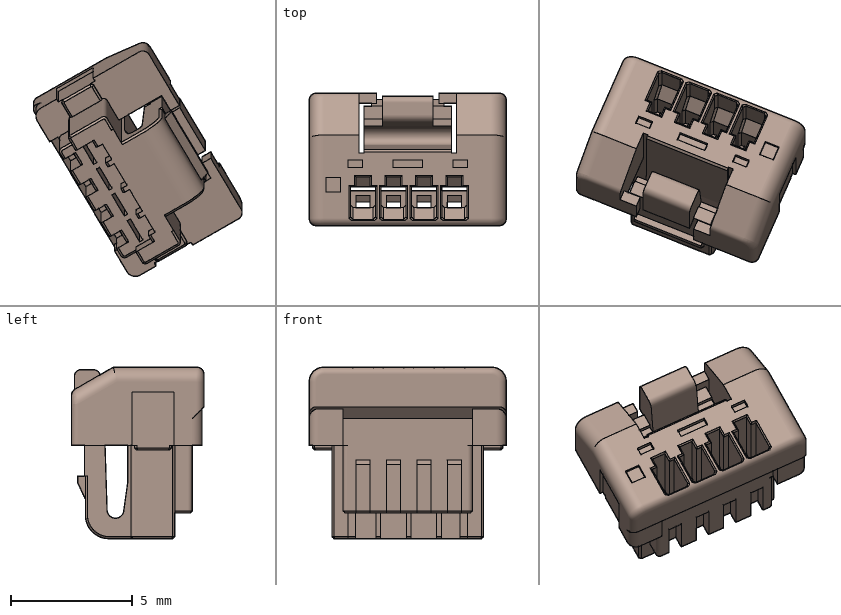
import cadquery as cq
import math

WIDTH = 8.1
DEPTH = 5.45
HEIGHT = 7.05

HEAD_BOTTOM = 3.84
SLOPE_START_Y = 3.73
SLOPE_ANGLE = 30
SIDE_RADIUS = 0.6
EDGE_RADIUS = 0.3
LIP_Z = 5.42
SIDE_SETBACK = 0.08
SIDE_SETBACK_RADIUS = 0.4
PANEL_Y = 0.48
PANEL_HALF = 2.65

RECESS_DEPTH = 0.14
RECESS_FRONT = 1.23
RECESS_BACK = 2.97
RECESS_TOP = 6.03
RECESS_RADIUS = 0.05
STOP_FRONT = 1.34
STOP_BACK = 2.85
STOP_DROP = 0.2
CORNER_BEVEL = 0.09

PLUG_HALF = 3.115
PLUG_FRONT = 1.2
PLUG_BACK = 2.995
PLUG_BACK_RADIUS = 0.15
PANEL_BOTTOM = 1.055
PANEL_BACK = 1.45
PANEL_RADIUS = 0.17
LEG_INNER = 2.455
FOOT_WALL_Y = 2.0
FOOT_RECESS_DEPTH = 0.3
FOOT_RECESS_HALF = 2.14
FOOT_DIVIDER = 0.2

CAVITY_COUNT = 4
PITCH = 1.25
ARRAY_OFFSET = 0.04
CAVITY_WIDTH = 1.02
CAVITY_FRONT = 0.26
CAVITY_LOW_FRONT = 0.745
CAVITY_BACK = 1.6
CAVITY_FLOOR = 3.245
CAVITY_CORNER = 0.105
KEY_WIDTH = 0.57
KEY_BACK = 2.01
MOUTH_BEVEL = 0.06
SLOT_BACK = 0.97
SLOT_RAMP_BACK = 1.24
SLOT_RAMP_DROP = 0.195

OPENING_HALF = 2.0
LATCH_HALF = 1.8
LATCH_ROOT_Y = 3.04
LATCH_WALL_Y = 3.137
BEAM_OUTER_Y = 4.92
BEAM_LOW_OUTER_Y = 4.88
BEAM_INNER_Y = 4.09
SHOULDER_Z = 4.9
SHOULDER_STEP_Y = 4.38
SHOULDER_STEP = 0.2
GAP_TAPER_Z = 2.34
GAP_BOTTOM_Z = 0.85
GAP_ARC_FRONT = 3.3
GAP_ARC_BACK = 3.98
LATCH_BEND_RADIUS = 0.98
HOOK_HALF = 1.49
HOOK_TIP_Y = 5.19
HOOK_TOP = 2.57
HOOK_TIP_BOTTOM = 2.29
HOOK_BOTTOM = 1.63
PULL_HALF = 1.04
PULL_FRONT = 4.29
PULL_BACK = 5.33
PULL_TOP = 6.95
PULL_RADIUS = 0.28
TAB_INNER = 1.28
TAB_FRONT = 5.03
TAB_TOP = 5.2

MARK_DEPTH = 0.2
MARK_FRONT = 2.39
MARK_BACK = 2.71
CENTRE_MARK_HALF = 0.61
SIDE_MARK_INNER = 1.855
SIDE_MARK_OUTER = 2.46
PIN_MARK_SIZE = 0.6
PIN_MARK_DEPTH = 0.12
PIN_MARK_X = -3.06
PIN_MARK_Y = 1.69

OVERRUN = 1.0


def block(x0, x1, y0, y1, z0, z1):
    """Box given by its limits along each axis."""
    return cq.Workplane("XY").box(x1 - x0, y1 - y0, z1 - z0, centered=False).translate((x0, y0, z0))


def extrude_side_profile(profile, x0, x1):
    """Extrude a closed (Y, Z) profile from x0 to x1."""
    return profile.extrude(x1 - x0).translate((x0, 0, 0))


def side_polygon(points, x0, x1):
    """Prism along X with a polygonal (Y, Z) section."""
    return extrude_side_profile(cq.Workplane("YZ").polyline(points).close(), x0, x1)


def make_head():
    """Head with a sloped rear top and rounded edges."""
    slope_end_z = HEIGHT - (DEPTH - SLOPE_START_Y) * math.tan(math.radians(SLOPE_ANGLE))
    outline = [
        (0, HEAD_BOTTOM),
        (0, HEIGHT),
        (SLOPE_START_Y, HEIGHT),
        (DEPTH, slope_end_z),
        (DEPTH, HEAD_BOTTOM),
    ]
    half = WIDTH / 2
    head = side_polygon(outline, -half, half)
    top_and_slope = head.faces(">Z or (not(|X or |Y or |Z))")
    head = head.newObject(top_and_slope.edges("not(|X)").vals()).fillet(SIDE_RADIUS)
    head = head.faces("<Y").edges("not(<Z)").fillet(EDGE_RADIUS)
    head = head.faces(">Y").edges("not(<Z)").fillet(EDGE_RADIUS)
    return head.cut(front_setback())


def front_setback():
    """Space under the front lip, with rounded corners left on the head."""
    half = WIDTH / 2
    ramp_end_z = LIP_Z - PANEL_Y
    space = side_polygon(
        [(0, HEAD_BOTTOM), (0, LIP_Z), (PANEL_Y, ramp_end_z), (PANEL_Y, HEAD_BOTTOM)], -half, half
    )
    shoulders = block(-half, half, SIDE_SETBACK, DEPTH, HEAD_BOTTOM, HEIGHT)
    shoulders = shoulders.edges("|Z and <Y").fillet(SIDE_SETBACK_RADIUS)
    centre = block(-PANEL_HALF, PANEL_HALF, 0, PANEL_Y, HEAD_BOTTOM, HEIGHT)
    return space.cut(shoulders.cut(centre))


def make_plug():
    """Plug with two front legs, a rear wall between them and the centre panel in front."""
    plug = block(-PLUG_HALF, PLUG_HALF, PLUG_FRONT, PLUG_BACK, 0, HEAD_BOTTOM)
    plug = plug.edges("|Z and >Y").fillet(PLUG_BACK_RADIUS)
    plug = plug.edges("|Z and <Y").chamfer(CORNER_BEVEL)
    plug = plug.faces("<Z").edges("not(>Y)").chamfer(CORNER_BEVEL)
    rear_wall = block(-LEG_INNER, LEG_INNER, FOOT_WALL_Y, PLUG_BACK, 0, PANEL_BOTTOM)
    rear_wall = rear_wall.faces("<Z").edges("<Y").chamfer(CORNER_BEVEL)
    plug = plug.cut(block(-LEG_INNER, LEG_INNER, 0, PLUG_BACK, 0, PANEL_BOTTOM)).union(rear_wall)

    panel = block(-PANEL_HALF, PANEL_HALF, PANEL_Y, PANEL_BACK, PANEL_BOTTOM, HEAD_BOTTOM)
    panel = panel.edges("|Z and <Y").fillet(PANEL_RADIUS)
    panel = panel.faces("<Z").edges("not(>Y)").chamfer(CORNER_BEVEL)
    return plug.union(panel)


def cavity_centres():
    first = ARRAY_OFFSET - (CAVITY_COUNT - 1) * PITCH / 2
    return [first + i * PITCH for i in range(CAVITY_COUNT)]


def cavity_outline(z, front, grow=0):
    """Outline of a cavity and its rear key slot at height z, enlarged outwards by grow."""
    half = CAVITY_WIDTH / 2 + grow
    key_half = KEY_WIDTH / 2 + grow
    back = CAVITY_BACK + grow
    right_side = [
        (half - CAVITY_CORNER, front - grow),
        (half, front - grow + CAVITY_CORNER),
        (half, back),
        (key_half, back),
        (key_half, KEY_BACK + grow),
    ]
    left_side = [(-x, y) for x, y in reversed(right_side)]
    return cq.Workplane("XY").workplane(offset=z).polyline(right_side + left_side).close()


def loft_outlines(lower, upper):
    return cq.Workplane(cq.Solid.makeLoft([lower.wires().val(), upper.wires().val()], True))


def make_cavity():
    """Cavity for one contact, centred on X = 0, open to the top and the bottom."""
    half = CAVITY_WIDTH / 2
    key_half = KEY_WIDTH / 2
    ramp_bottom = LIP_Z - (CAVITY_LOW_FRONT - CAVITY_FRONT)
    lower = cavity_outline(CAVITY_FLOOR, CAVITY_LOW_FRONT).extrude(ramp_bottom - CAVITY_FLOOR)
    ramp = loft_outlines(
        cavity_outline(ramp_bottom, CAVITY_LOW_FRONT), cavity_outline(LIP_Z, CAVITY_FRONT)
    )
    upper = cavity_outline(LIP_Z, CAVITY_FRONT).extrude(HEIGHT - LIP_Z)
    mouth = loft_outlines(
        cavity_outline(HEIGHT - MOUTH_BEVEL, CAVITY_FRONT),
        cavity_outline(HEIGHT, CAVITY_FRONT, MOUTH_BEVEL),
    )
    key_depth = KEY_BACK - CAVITY_BACK
    key_floor = side_polygon(
        [(CAVITY_BACK, CAVITY_FLOOR), (KEY_BACK, CAVITY_FLOOR + key_depth), (KEY_BACK, CAVITY_FLOOR)],
        -key_half,
        key_half,
    )
    cavity = lower.union(ramp).union(upper).union(mouth).cut(key_floor)

    drop = block(-half, half, PANEL_BACK, CAVITY_BACK, PANEL_BOTTOM, CAVITY_FLOOR)
    slot_section = [
        (PANEL_Y, PANEL_BOTTOM),
        (PANEL_Y, CAVITY_FLOOR),
        (SLOT_RAMP_BACK, CAVITY_FLOOR),
        (SLOT_BACK, CAVITY_FLOOR - SLOT_RAMP_DROP),
        (SLOT_BACK, PANEL_BOTTOM + CORNER_BEVEL),
        (SLOT_BACK + CORNER_BEVEL, PANEL_BOTTOM),
    ]
    slot = side_polygon(slot_section, -key_half, key_half)
    return cavity.union(drop).union(slot)


def make_foot_recess(centre):
    """Open-bottomed recess in the rear wall behind one contact."""
    half = (PITCH - FOOT_DIVIDER) / 2
    left = max(centre - half, -FOOT_RECESS_HALF)
    right = min(centre + half, FOOT_RECESS_HALF)
    return block(left, right, FOOT_WALL_Y, FOOT_WALL_Y + FOOT_RECESS_DEPTH, 0, PANEL_BOTTOM)


def make_side_recess():
    """Shallow recess in the +X side of the head."""
    outer = WIDTH / 2
    recess = block(outer - RECESS_DEPTH, outer, RECESS_FRONT, RECESS_BACK, HEAD_BOTTOM, RECESS_TOP)
    return recess.edges("|X and >Z").fillet(RECESS_RADIUS)


def make_stop():
    """Stop below the +X recess, flush with its floor."""
    outer = WIDTH / 2 - RECESS_DEPTH
    bottom = HEAD_BOTTOM - STOP_DROP
    stop = block(PLUG_HALF - PLUG_BACK_RADIUS, outer, STOP_FRONT, STOP_BACK, bottom, HEAD_BOTTOM)
    stop = stop.edges("|Z and >X").chamfer(CORNER_BEVEL)
    return stop.faces("<Z").edges("not(<X)").chamfer(CORNER_BEVEL)


def make_latch():
    """U-shaped latch behind the plug, with its hook and finger pull."""
    root_front = PLUG_BACK - PLUG_BACK_RADIUS
    body = (
        cq.Workplane("YZ")
        .moveTo(root_front, 0)
        .lineTo(BEAM_LOW_OUTER_Y - LATCH_BEND_RADIUS, 0)
        .radiusArc((BEAM_LOW_OUTER_Y, LATCH_BEND_RADIUS), -LATCH_BEND_RADIUS)
        .lineTo(BEAM_LOW_OUTER_Y, HOOK_TOP)
        .lineTo(root_front, HOOK_TOP)
        .close()
    )
    lower = extrude_side_profile(body, -LATCH_HALF, LATCH_HALF)
    lower = lower.faces("<Z or >Y or %CYLINDER").edges("<X or >X").chamfer(CORNER_BEVEL)
    upper_section = [
        (root_front, HOOK_TOP),
        (root_front, HEIGHT),
        (LATCH_ROOT_Y, HEIGHT),
        (LATCH_WALL_Y, HEIGHT - (LATCH_WALL_Y - LATCH_ROOT_Y)),
        (LATCH_WALL_Y, SHOULDER_Z),
        (BEAM_OUTER_Y, SHOULDER_Z),
        (BEAM_OUTER_Y, HOOK_TOP),
    ]
    upper = side_polygon(upper_section, -LATCH_HALF, LATCH_HALF)
    return lower.union(upper).cut(flex_gap()).union(make_hook()).union(make_pull())


def flex_gap():
    """Tapered gap between the plug and the latch beam."""
    arc_radius = (GAP_ARC_BACK - GAP_ARC_FRONT) / 2
    arc_z = GAP_BOTTOM_Z + arc_radius
    profile = (
        cq.Workplane("YZ")
        .moveTo(LATCH_WALL_Y, SHOULDER_Z)
        .lineTo(LATCH_WALL_Y, GAP_TAPER_Z)
        .lineTo(GAP_ARC_FRONT, arc_z)
        .threePointArc((GAP_ARC_FRONT + arc_radius, GAP_BOTTOM_Z), (GAP_ARC_BACK, arc_z))
        .lineTo(BEAM_INNER_Y, SHOULDER_Z - SHOULDER_STEP)
        .lineTo(SHOULDER_STEP_Y, SHOULDER_Z - SHOULDER_STEP)
        .lineTo(SHOULDER_STEP_Y, SHOULDER_Z)
        .close()
    )
    return extrude_side_profile(profile, -LATCH_HALF, LATCH_HALF)


def make_hook():
    hook_section = [
        (SHOULDER_STEP_Y, HOOK_TOP),
        (HOOK_TIP_Y, HOOK_TOP),
        (HOOK_TIP_Y, HOOK_TIP_BOTTOM),
        (BEAM_LOW_OUTER_Y, HOOK_BOTTOM),
        (SHOULDER_STEP_Y, HOOK_BOTTOM),
    ]
    return side_polygon(hook_section, -HOOK_HALF, HOOK_HALF)


def make_pull():
    """Finger pull on the beam, its front leaning back towards the top."""
    bottom = SHOULDER_Z - SHOULDER_STEP
    pull_section = [
        (BEAM_INNER_Y, bottom),
        (PULL_FRONT, PULL_TOP),
        (PULL_BACK, PULL_TOP),
        (PULL_BACK, bottom),
    ]
    pull = side_polygon(pull_section, -PULL_HALF, PULL_HALF)
    return pull.edges("|X and >Z").fillet(PULL_RADIUS)


def make_tab():
    """Tab reaching into the rear opening from its +X side."""
    return block(TAB_INNER, OPENING_HALF, TAB_FRONT, DEPTH, HEAD_BOTTOM, TAB_TOP)


def make_marks():
    floor = HEIGHT - MARK_DEPTH
    centre = block(-CENTRE_MARK_HALF, CENTRE_MARK_HALF, MARK_FRONT, MARK_BACK, floor, HEIGHT)
    side = block(SIDE_MARK_INNER, SIDE_MARK_OUTER, MARK_FRONT, MARK_BACK, floor, HEIGHT)
    pin = cq.Workplane("XY").box(PIN_MARK_SIZE, PIN_MARK_SIZE, PIN_MARK_DEPTH)
    pin = pin.translate((PIN_MARK_X, PIN_MARK_Y, HEIGHT - PIN_MARK_DEPTH / 2))
    return centre.union(side).union(side.mirror("YZ")).union(pin)


latch_opening = block(
    -OPENING_HALF, OPENING_HALF, PLUG_BACK, DEPTH + OVERRUN, HEAD_BOTTOM - OVERRUN, HEIGHT + OVERRUN
)
result = make_head().cut(latch_opening).union(make_plug())
for part in (make_stop(), make_tab()):
    result = result.union(part).union(part.mirror("YZ"))
result = result.union(make_latch())

recess = make_side_recess()
result = result.cut(recess).cut(recess.mirror("YZ"))
cavity = make_cavity()
for x in cavity_centres():
    result = result.cut(cavity.translate((x, 0, 0))).cut(make_foot_recess(x))
result = result.cut(make_marks())